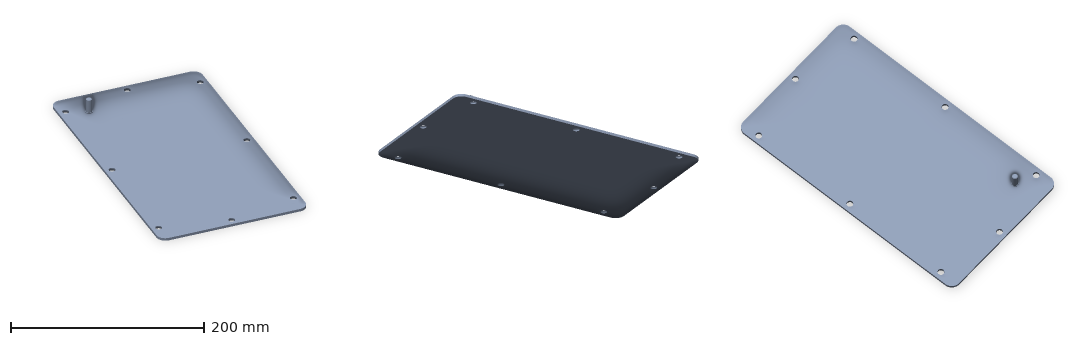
import cadquery as cq

length = 294.0
width = 167.0
thickness = 3.0
corner_radius = 10.0

hole_diameter = 7.0
corner_hole_x = 124.0
corner_hole_y = 75.5
side_hole_x = 139.0

total_height = 19.0
stud_x = -114.0
stud_y = -53.5
stud_diameter = 6.2
stud_tip_chamfer = 0.5
flange_diameter = 7.4
flange_height = 1.0


def make_plate():
    """Rounded plate with its underside on Z = 0."""
    plate = cq.Workplane("XY").rect(length, width).extrude(thickness)
    return plate.edges("|Z").fillet(corner_radius)


def hole_centers():
    """Three holes along each long edge and one at the middle of each short edge."""
    long_edges = [
        (x, y)
        for x in (-corner_hole_x, 0, corner_hole_x)
        for y in (-corner_hole_y, corner_hole_y)
    ]
    short_edges = [(-side_hole_x, 0), (side_hole_x, 0)]
    return long_edges + short_edges


def make_stud():
    """Round stud with a chamfered tip and a thin flange at its foot, starting at the plate underside."""
    base = cq.Workplane("XY").center(stud_x, stud_y)
    shank = base.circle(stud_diameter / 2).extrude(total_height).faces(">Z").chamfer(stud_tip_chamfer)
    flange = base.circle(flange_diameter / 2).extrude(thickness + flange_height)
    return shank.union(flange)


holes = (
    cq.Workplane("XY")
    .pushPoints(hole_centers())
    .circle(hole_diameter / 2)
    .extrude(thickness)
)
result = make_plate().cut(holes).union(make_stud())